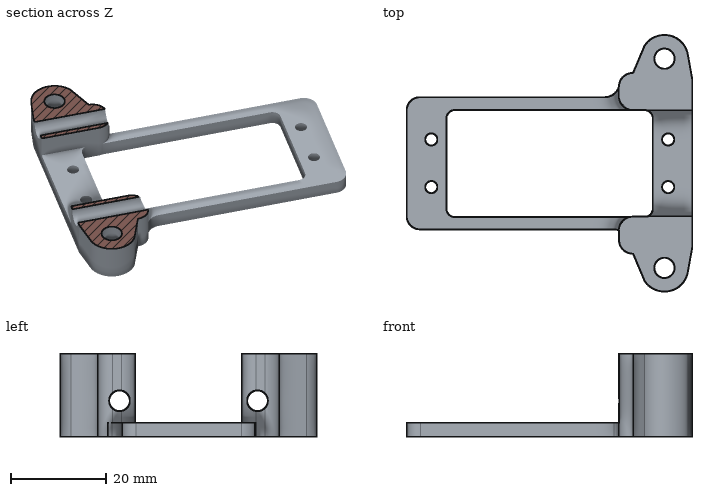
import cadquery as cq
import math

frame_length = 60.0
frame_half_width = 13.9
frame_thickness = 3.0
frame_corner_radius = 2.85

window_start_x = 8.4
window_end_x = 51.65
window_lower_y = -11.27
window_corner_radius = 1.75

screw_hole_diameter = 2.5
screw_hole_columns_x = (5.2, 54.9)
screw_hole_pitch_y = 10.0

overall_width = 53.9
post_height = 17.5
post_inner_y = 11.16
lobe_start_x = 44.53
lobe_outer_y = 19.0
lobe_radius = 3.0
end_face_y = 17.5
flank_end_y = 24.68
ear_radius = 5.0
ear_center_x = 54.12
ear_center_y = overall_width / 2 - ear_radius
bore_diameter = 4.2

cross_hole_diameter = 4.3
cross_hole_y = 14.48
cross_hole_z = 7.6

left_fillet_start_x = 41.65
post_fillet_radius = 3.0
right_fillet_start_x = 43.5


def circle_point(center_x, center_y, radius, angle):
    """Point on a circle at the given angle in radians."""
    return center_x + radius * math.cos(angle), center_y + radius * math.sin(angle)


def end_face_tangent_angle():
    """Angle on the ear circle where the line from the end face's outer edge touches it."""
    dx = frame_length - ear_center_x
    dy = end_face_y - ear_center_y
    return math.atan2(dy, dx) + math.acos(ear_radius / math.hypot(dx, dy))


def make_frame():
    """Flat plate, rounded at its free end, with a rectangular window."""
    plate = (
        cq.Workplane("XY")
        .box(frame_length, 2 * frame_half_width, frame_thickness, centered=(False, True, False))
        .edges("|Z and <X")
        .fillet(frame_corner_radius)
    )
    window_length = window_end_x - window_start_x
    window_width = post_inner_y - window_lower_y
    window = (
        cq.Workplane("XY")
        .moveTo(window_start_x, window_lower_y)
        .rect(window_length, window_width, centered=False)
        .extrude(frame_thickness)
        .edges("|Z")
        .fillet(window_corner_radius)
    )
    hole_points = [
        (x, side * screw_hole_pitch_y / 2) for x in screw_hole_columns_x for side in (-1, 1)
    ]
    holes = (
        cq.Workplane("XY")
        .pushPoints(hole_points)
        .circle(screw_hole_diameter / 2)
        .extrude(frame_thickness)
    )
    return plate.cut(window).cut(holes)


def make_edge_fillet(start_x, radius):
    """Web on the +Y frame edge whose concave arc runs into the post."""
    top_y = frame_half_width + radius
    inner_y = (post_inner_y + frame_half_width) / 2
    web_end_x = lobe_start_x + lobe_radius
    return (
        cq.Workplane("XY")
        .moveTo(start_x, frame_half_width)
        .threePointArc(circle_point(start_x, top_y, radius, -math.pi / 4), (start_x + radius, top_y))
        .lineTo(web_end_x, top_y)
        .lineTo(web_end_x, inner_y)
        .lineTo(start_x, inner_y)
        .close()
        .extrude(frame_thickness)
    )


def make_post():
    """Post on the +Y side: a rounded lobe toward -X and a bored ear toward +Y."""
    lobe_center_x = lobe_start_x + lobe_radius
    inner_arc_y = post_inner_y + lobe_radius
    outer_arc_y = lobe_outer_y - lobe_radius

    flank_angle = math.pi - math.asin((flank_end_y - ear_center_y) / ear_radius)
    end_angle = end_face_tangent_angle()
    ear_start = circle_point(ear_center_x, ear_center_y, ear_radius, flank_angle)
    ear_end = circle_point(ear_center_x, ear_center_y, ear_radius, end_angle)
    ear_top = (ear_center_x, ear_center_y + ear_radius)

    post = (
        cq.Workplane("XY")
        .moveTo(frame_length, post_inner_y)
        .lineTo(lobe_center_x, post_inner_y)
        .threePointArc(
            circle_point(lobe_center_x, inner_arc_y, lobe_radius, -3 * math.pi / 4),
            (lobe_start_x, inner_arc_y),
        )
        .lineTo(lobe_start_x, outer_arc_y)
        .threePointArc(
            circle_point(lobe_center_x, outer_arc_y, lobe_radius, 3 * math.pi / 4),
            (lobe_center_x, lobe_outer_y),
        )
        .lineTo(*ear_start)
        .threePointArc(ear_top, ear_end)
        .lineTo(frame_length, end_face_y)
        .close()
        .extrude(post_height)
    )
    bore = (
        cq.Workplane("XY")
        .center(ear_center_x, ear_center_y)
        .circle(bore_diameter / 2)
        .extrude(post_height)
    )
    cross_hole = (
        cq.Workplane("YZ")
        .center(cross_hole_y, cross_hole_z)
        .circle(cross_hole_diameter / 2)
        .extrude(frame_length)
    )
    return post.cut(bore).cut(cross_hole)


left_post = make_post()
right_post = left_post.mirror("XZ")
left_fillet = make_edge_fillet(left_fillet_start_x, post_fillet_radius)
right_fillet = make_edge_fillet(right_fillet_start_x, post_fillet_radius).mirror("XZ")

result = make_frame()
for body in (left_fillet, right_fillet, left_post, right_post):
    result = result.union(body)